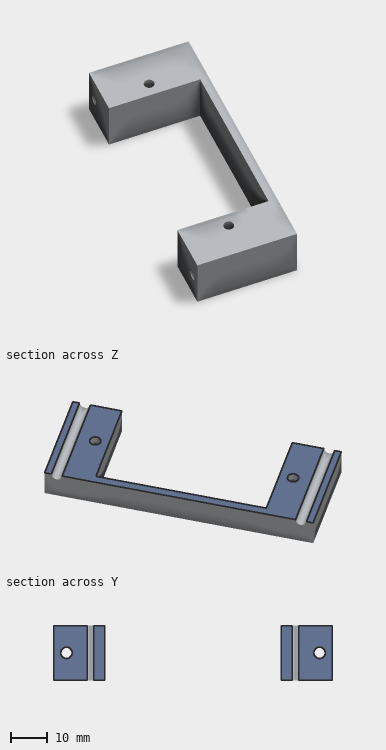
import cadquery as cq

length = 76.0
depth = 29.5
height = 15.0

leg_width = 14.0
back_wall = 2.5

hole_diameter = 3.0
long_hole_inset = 3.5
cross_hole_inset = 10.0
cross_hole_setback = 13.5


def bracket_body():
    """Block with a full-height opening between two legs, closed by the back wall."""
    block = cq.Workplane("XY").box(length, depth, height, centered=(True, False, False))
    opening = cq.Workplane("XY").box(
        length - 2 * leg_width, depth - back_wall, height, centered=(True, False, False)
    )
    return block.cut(opening)


def long_hole(side):
    """Hole running front to back through one leg, at mid height."""
    return (
        cq.Workplane("XZ")
        .center(side * (length / 2 - long_hole_inset), height / 2)
        .circle(hole_diameter / 2)
        .extrude(-depth)
    )


def cross_hole(side):
    """Vertical hole through one leg."""
    return (
        cq.Workplane("XY")
        .center(side * (length / 2 - cross_hole_inset), cross_hole_setback)
        .circle(hole_diameter / 2)
        .extrude(height)
    )


result = bracket_body()
for side in (-1, 1):
    result = result.cut(long_hole(side)).cut(cross_hole(side))